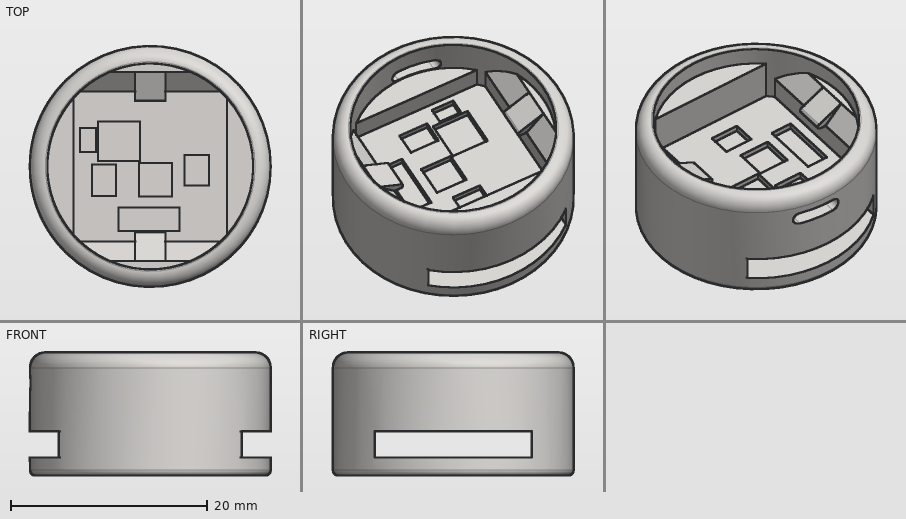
import cadquery as cq

outer_diameter = 24.6
height = 12.6
top_round = 1.6
bottom_round = 0.6

bore_diameter = 21.0
ledge_depth = 2.0
ledge_z = height - ledge_depth
floor_z = 6.1
bay_length_x = 15.65
bay_width_y = 15.33
ramp_run = 2.0
ramp_low_z = ledge_z - ramp_run
port_ledge_z = ramp_low_z

clip_width = 3.08
clip_tip_y = 6.7
clip_tip_height = 0.52
clip_tip_round = 0.3

strap_width = 16
strap_height = 2.65
strap_bottom_z = 1.87

port_length = 5.31
port_height = 1.45
port_center_y = 1.25
port_center_z = 9.45

recess_depth = 0.7
recesses = [
    (-6.35, 2.68, 1.67, 2.45),
    (-3.2, 2.55, 4.25, 4.03),
    (-4.72, -1.4, 2.4, 3.2),
    (0.52, -1.38, 3.37, 3.42),
    (4.75, -0.4, 2.48, 3.15),
    (-0.12, -5.39, 6.25, 2.39),
]


def make_body():
    body = cq.Workplane("XY").circle(outer_diameter / 2).extrude(height)
    body = body.faces(">Z").edges().fillet(top_round)
    return body.faces("<Z").edges().fillet(bottom_round)


def make_cavity():
    """Bore volume above the ledges, joined to the bay between its ramps."""
    bay_half = bay_width_y / 2
    ramp_top = bay_half + ramp_run
    bay = (
        cq.Workplane("YZ")
        .polyline([
            (-bay_half, floor_z),
            (bay_half, floor_z),
            (bay_half, ramp_low_z),
            (ramp_top, ledge_z),
            (-ramp_top, ledge_z),
            (-bay_half, ramp_low_z),
        ])
        .close()
        .extrude(bay_length_x / 2, both=True)
    )
    bore = cq.Workplane("XY").workplane(offset=floor_z).circle(bore_diameter / 2).extrude(height - floor_z)
    mouth = cq.Workplane("XY").workplane(offset=ledge_z).circle(bore_diameter / 2).extrude(ledge_depth)
    port_side = (
        cq.Workplane("XY")
        .workplane(offset=port_ledge_z)
        .rect(bore_diameter, bay_width_y)
        .extrude(ledge_z - port_ledge_z)
        .translate((-bore_diameter / 2, 0, 0))
    )
    return bay.union(port_side).intersect(bore).union(mouth)


def make_clip():
    """Wedge on the +Y ramp, overhanging the bay with a rounded tip."""
    ramp_top = bay_width_y / 2 + ramp_run
    clip = (
        cq.Workplane("YZ")
        .polyline([
            (clip_tip_y, ramp_low_z),
            (clip_tip_y, ramp_low_z + clip_tip_height),
            (ramp_top, ledge_z),
            (ramp_top, ramp_low_z),
        ])
        .close()
        .extrude(clip_width / 2, both=True)
    )
    tip_edges = clip.faces("<Y").edges("|X")
    return tip_edges.fillet(clip_tip_round)


def make_recess(center_x, center_y, length, width):
    return (
        cq.Workplane("XY")
        .workplane(offset=floor_z)
        .center(center_x, center_y)
        .rect(length, width)
        .extrude(-recess_depth)
    )


def make_strap_slot():
    return (
        cq.Workplane("XY")
        .workplane(offset=strap_bottom_z)
        .rect(outer_diameter, strap_width)
        .extrude(strap_height)
    )


def make_port():
    """Round-ended opening from the -X wall into the bore."""
    return (
        cq.Workplane("YZ")
        .workplane(offset=-outer_diameter / 2)
        .center(port_center_y, port_center_z)
        .slot2D(port_length, port_height)
        .extrude(outer_diameter / 2 - bay_length_x / 2)
    )


clip = make_clip()
result = make_body().cut(make_cavity())
result = result.union(clip).union(clip.mirror("XZ"))
for recess in recesses:
    result = result.cut(make_recess(*recess))
result = result.cut(make_strap_slot()).cut(make_port())